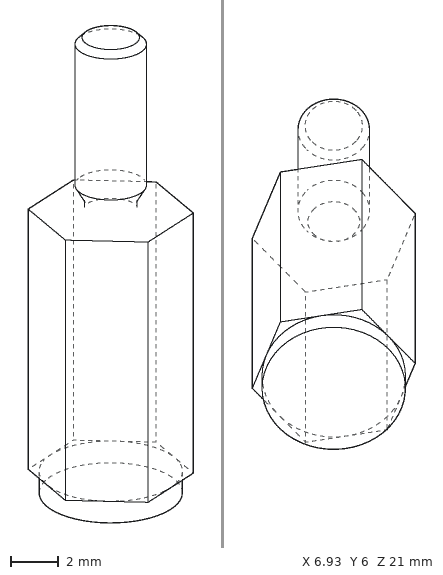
import cadquery as cq
import math

across_flats = 6.0
across_corners = across_flats / math.cos(math.radians(30))
hex_height = 12.0

collar_diameter = across_flats
collar_height = 1.0

stud_diameter = 3.0
stud_length = 8.0
tip_chamfer = 0.3
tip_diameter = stud_diameter - 2 * tip_chamfer
neck_diameter = 2.2
undercut_length = 1.2
undercut_angle = math.radians(30)
undercut_fillet = 0.2

hex_top = collar_height + hex_height


def make_collar():
    return cq.Workplane("XY").circle(collar_diameter / 2).extrude(collar_height)


def make_hexagon():
    hexagon = cq.Workplane("XY").workplane(offset=collar_height)
    return hexagon.polygon(6, across_corners).extrude(hex_height)


def make_stud():
    """Revolve the half profile, drawn as (radius, height), about the Z axis."""
    stud_radius = stud_diameter / 2
    neck_radius = neck_diameter / 2
    stud_top = hex_top + stud_length
    flank_top = hex_top + undercut_length

    flank_height = (stud_radius - neck_radius) / math.tan(undercut_angle)
    corner_height = flank_top - flank_height
    tangent_length = undercut_fillet * math.tan(undercut_angle / 2)
    neck_top = corner_height - tangent_length
    flank_start = (
        neck_radius + tangent_length * math.sin(undercut_angle),
        corner_height + tangent_length * math.cos(undercut_angle),
    )
    flank_arc_middle = (
        neck_radius + undercut_fillet * (1 - math.cos(undercut_angle / 2)),
        neck_top + undercut_fillet * math.sin(undercut_angle / 2),
    )
    root_arc_middle = (
        neck_radius + undercut_fillet * (1 - math.cos(math.radians(45))),
        hex_top + undercut_fillet * (1 - math.sin(math.radians(45))),
    )

    profile = (
        cq.Workplane("XZ")
        .moveTo(0, hex_top)
        .lineTo(neck_radius + undercut_fillet, hex_top)
        .threePointArc(root_arc_middle, (neck_radius, hex_top + undercut_fillet))
        .lineTo(neck_radius, neck_top)
        .threePointArc(flank_arc_middle, flank_start)
        .lineTo(stud_radius, flank_top)
        .lineTo(stud_radius, stud_top - tip_chamfer)
        .lineTo(tip_diameter / 2, stud_top)
        .lineTo(0, stud_top)
        .close()
    )
    return profile.revolve(360, (0, 0, 0), (0, 1, 0))


result = make_collar().union(make_hexagon()).union(make_stud())